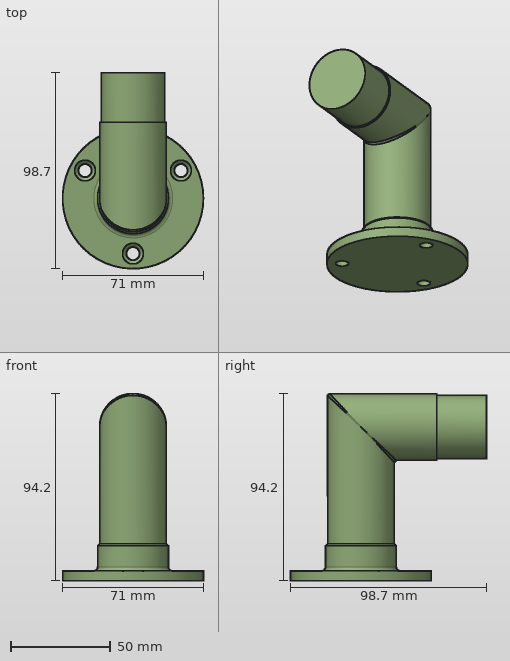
import cadquery as cq
import math

flange_diameter = 71.0
flange_thickness = 5.0

hole_count = 3
hole_diameter = 6.5
countersink_diameter = 10.5
countersink_angle = 90
hole_circle_radius = 27.8
first_hole_angle = -90
full_turn = 360

collar_diameter = 35.7
collar_top = 18.6
foot_fillet = 2.0

tube_diameter = 33.7
mitre_setback = 1.0
mitre_angle = 45
outer_mitre_angle = 180 - mitre_angle
inner_mitre_angle = -mitre_angle
spigot_diameter = 32.0
overall_height = 94.2
overall_length = 98.7
spigot_length = 25.1

tube_radius = tube_diameter / 2
collar_chamfer = (collar_diameter - tube_diameter) / 2
elbow_height = overall_height - tube_radius
spigot_end = overall_length - flange_diameter / 2
shoulder = spigot_end - spigot_length


def make_base():
    """Flange and collar, joined by a concave fillet."""
    flange = cq.Workplane("XY").circle(flange_diameter / 2).extrude(flange_thickness)
    collar = (
        cq.Workplane("XY")
        .circle(collar_diameter / 2)
        .extrude(collar_top)
        .faces(">Z")
        .chamfer(collar_chamfer)
    )
    base = flange.union(collar)
    foot_edge = cq.selectors.RadiusNthSelector(0)
    return base.faces(">Z[-2]").edges(foot_edge).fillet(foot_fillet)


def side_slab(outline):
    """Slab across the full tube width with the given (Y, Z) outline."""
    return cq.Workplane("YZ").polyline(outline).close().extrude(tube_radius, both=True)


def mitre_wedge(reach_y, reach_z, middle_angle):
    """Thin ellipsoid sector filling one half of the mitre seam.

    The tubes are trimmed along half ellipses that share the X-parallel axis through the
    elbow centre. The reaches are the Y and Z distances from that axis to the tip of the
    post's half ellipse. The middle angle is measured about X from +Y.
    """
    seam_reach = math.hypot(reach_y, reach_z)
    half_sweep = abs(mitre_angle - math.degrees(math.atan2(reach_z, reach_y)))
    one_side = (
        cq.Workplane("XY")
        .ellipseArc(tube_radius, seam_reach, 0, 90, startAtCurrent=False)
        .lineTo(0, 0)
        .close()
        .revolve(2 * half_sweep, (0, 0), (1, 0))
        .rotate((0, 0, 0), (1, 0, 0), middle_angle - half_sweep)
        .translate((0, 0, elbow_height))
    )
    return one_side.union(one_side.mirror("YZ"))


def make_elbow():
    """Vertical and horizontal tubes meeting in a 45 degree mitre with a blunted seam."""
    post = cq.Workplane("XY").circle(tube_radius).extrude(overall_height)
    arm = (
        cq.Workplane("XZ", origin=(0, -tube_radius, elbow_height))
        .circle(tube_radius)
        .extrude(-(shoulder + tube_radius))
    )
    outer_reach = tube_radius - mitre_setback
    inner_reach = tube_radius + mitre_setback
    arm_bottom = elbow_height - tube_radius
    post_outline = [
        (-tube_radius, 0),
        (tube_radius, 0),
        (tube_radius, elbow_height - inner_reach),
        (0, elbow_height),
        (-tube_radius, elbow_height + outer_reach),
    ]
    arm_outline = [
        (-outer_reach, overall_height),
        (0, elbow_height),
        (inner_reach, arm_bottom),
        (shoulder, arm_bottom),
        (shoulder, overall_height),
    ]
    trimmed_post = post.intersect(side_slab(post_outline))
    trimmed_arm = arm.intersect(side_slab(arm_outline))
    outer_wedge = mitre_wedge(tube_radius, outer_reach, outer_mitre_angle)
    inner_wedge = mitre_wedge(tube_radius, inner_reach, inner_mitre_angle)
    return trimmed_post.union(outer_wedge).union(inner_wedge).union(trimmed_arm)


def make_spigot():
    """Reduced end of the arm."""
    return (
        cq.Workplane("XZ", origin=(0, shoulder, elbow_height))
        .circle(spigot_diameter / 2)
        .extrude(-spigot_length)
    )


def drill_flange(body):
    """Countersunk screw holes evenly spaced around the flange."""
    return (
        body
        .copyWorkplane(cq.Workplane("XY", origin=(0, 0, flange_thickness)))
        .polarArray(hole_circle_radius, first_hole_angle, full_turn, hole_count)
        .cskHole(hole_diameter, countersink_diameter, countersink_angle, flange_thickness)
    )


flange_with_holes = drill_flange(make_base())
result = flange_with_holes.union(make_elbow()).union(make_spigot())